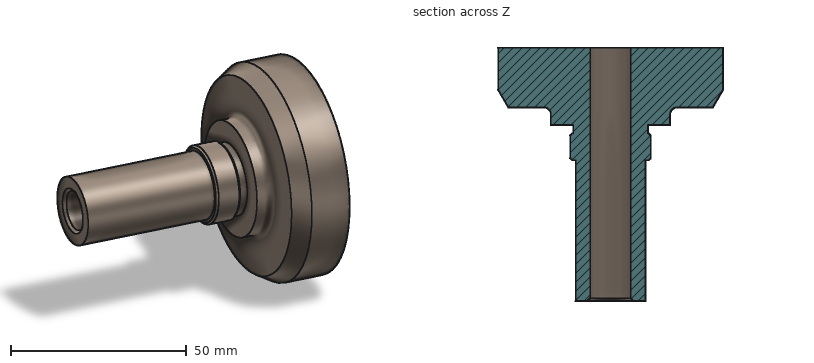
import cadquery as cq
import math


RIM_WIDTH = 12.0
HEAD_WIDTH = 17.0
HUB_END = 22.0
COLLAR_START = 24.3
COLLAR_END = 32.0
LENGTH = 72.0

HEAD_DIAMETER = 64.0
HUB_DIAMETER = 34.0
NECK_DIAMETER = 21.4
COLLAR_DIAMETER = 23.0
TUBE_DIAMETER = 20.0
BORE_DIAMETER = 11.45
COUNTERSINK_DIAMETER = 13.157

HEAD_BEVEL_ANGLE = 30.0
HUB_FILLET = 2.0
COLLAR_CHAMFER = 0.62
COUNTERSINK_ANGLE = 45.0


def make_body():
    """Solid of revolution: bevelled head, filleted hub, neck, chamfered collar and tube."""
    head_radius = HEAD_DIAMETER / 2
    hub_radius = HUB_DIAMETER / 2
    neck_radius = NECK_DIAMETER / 2
    collar_radius = COLLAR_DIAMETER / 2
    collar_face_radius = collar_radius - COLLAR_CHAMFER
    tube_radius = TUBE_DIAMETER / 2
    bevel_depth = (HEAD_WIDTH - RIM_WIDTH) * math.tan(math.radians(HEAD_BEVEL_ANGLE))
    fillet_middle = HUB_FILLET * (1 - math.sqrt(0.5))

    profile = (
        cq.Workplane("XY")
        .moveTo(0, 0)
        .lineTo(head_radius, 0)
        .lineTo(head_radius, -RIM_WIDTH)
        .lineTo(head_radius - bevel_depth, -HEAD_WIDTH)
        .lineTo(hub_radius + HUB_FILLET, -HEAD_WIDTH)
        .threePointArc(
            (hub_radius + fillet_middle, -HEAD_WIDTH - fillet_middle),
            (hub_radius, -HEAD_WIDTH - HUB_FILLET),
        )
        .lineTo(hub_radius, -HUB_END)
        .lineTo(neck_radius, -HUB_END)
        .lineTo(neck_radius, -COLLAR_START)
        .lineTo(collar_face_radius, -COLLAR_START)
        .lineTo(collar_radius, -COLLAR_START - COLLAR_CHAMFER)
        .lineTo(collar_radius, -COLLAR_END + COLLAR_CHAMFER)
        .lineTo(collar_face_radius, -COLLAR_END)
        .lineTo(tube_radius, -COLLAR_END)
        .lineTo(tube_radius, -LENGTH)
        .lineTo(0, -LENGTH)
        .close()
    )
    return profile.revolve(360, (0, 0), (0, 1))


def make_bore():
    """Through bore along the axis, countersunk at the tube end."""
    bore_radius = BORE_DIAMETER / 2
    countersink_radius = COUNTERSINK_DIAMETER / 2
    taper = math.tan(math.radians(COUNTERSINK_ANGLE))
    countersink_depth = (countersink_radius - bore_radius) / taper

    profile = (
        cq.Workplane("XY")
        .moveTo(0, 0)
        .lineTo(bore_radius, 0)
        .lineTo(bore_radius, -LENGTH + countersink_depth)
        .lineTo(countersink_radius, -LENGTH)
        .lineTo(0, -LENGTH)
        .close()
    )
    return profile.revolve(360, (0, 0), (0, 1))


result = make_body().cut(make_bore())